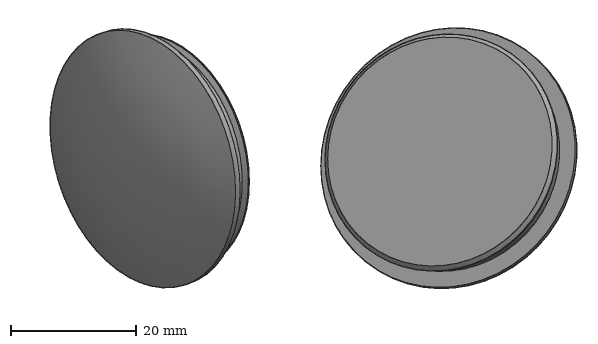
import cadquery as cq

flange_diameter = 42.4
neck_diameter = 37.23
lip_diameter = 38.7
lip_end_diameter = 37.4

dome_height = 4.5
flange_thickness = 1.0
neck_length = 3.0
lip_width = 1.5
crest_width = 0.25

flange_radius = flange_diameter / 2
neck_radius = neck_diameter / 2
lip_radius = lip_diameter / 2
lip_end_radius = lip_end_diameter / 2

lip_slope = (lip_width - crest_width) / 2

flange_back = flange_thickness
neck_back = flange_back + neck_length
crest_front = neck_back + lip_slope
crest_back = crest_front + crest_width
back_face = neck_back + lip_width

dome_radius = (flange_radius**2 + dome_height**2) / (2 * dome_height)
dome_centre_y = dome_radius - dome_height
mid_arc_x = flange_radius / 2
mid_arc_y = dome_centre_y - (dome_radius**2 - mid_arc_x**2) ** 0.5

profile = (
    cq.Workplane("XY")
    .moveTo(0, -dome_height)
    .threePointArc((mid_arc_x, mid_arc_y), (flange_radius, 0))
    .lineTo(flange_radius, flange_back)
    .lineTo(neck_radius, flange_back)
    .lineTo(neck_radius, neck_back)
    .lineTo(lip_radius, crest_front)
    .lineTo(lip_radius, crest_back)
    .lineTo(lip_end_radius, back_face)
    .lineTo(0, back_face)
    .close()
)

result = profile.revolve(360, (0, 0, 0), (0, 1, 0))